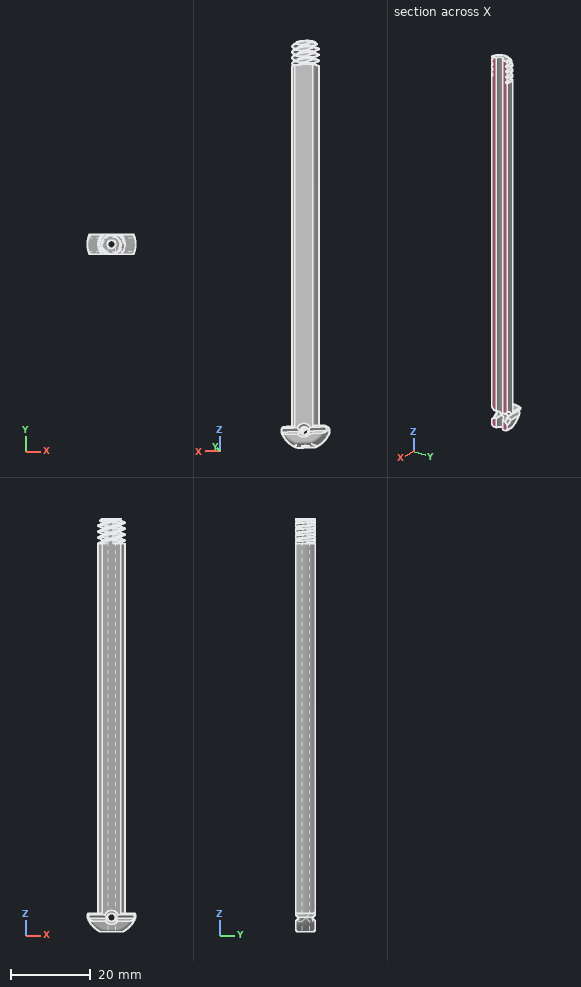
import cadquery as cq

thickness = 5.0
total_length = 103.73
bore_diameter = 2.0

head_radius = 6.1
head_height = 4.73
head_rim_height = 1.1
head_tip_radius = 2.8
dome_radius = 6.5
head_top_fillet = 0.6
dome_edge_fillet = 0.7

groove_depth = 0.8
groove_drop = 1.25
cross_hole_drop = 1.1
cross_hole_radius = 1.0
cross_hole_mouth_radius = 1.75
cross_hole_mouth_depth = 0.75

shank_diameter = 6.8

thread_length = 6.25
thread_pitch = 1.5
thread_overrun_turns = 1.5
thread_core_radius = 2.15
thread_root_overlap = 0.1
thread_top_radius = 2.4
thread_envelope_radius = 3.6
thread_root_width = 1.35
thread_crest_width = 0.1

bore_radius = bore_diameter / 2
shank_length = total_length - head_height - thread_length
thread_radius = shank_diameter / 2


def make_head():
    """Domed disc trimmed to the flat thickness, its top face at Z = 0."""
    profile = (
        cq.Workplane("XZ")
        .lineTo(head_radius, 0)
        .lineTo(head_radius, -head_rim_height)
        .radiusArc((head_tip_radius, -head_height), dome_radius)
        .lineTo(0, -head_height)
        .close()
    )
    disc = profile.revolve(360, (0, 0, 0), (0, 1, 0)).faces(">Z").edges().fillet(head_top_fillet)
    head = disc.intersect(side_slab())
    lower_box = cq.selectors.BoxSelector(
        (-head_radius, -thickness, -head_height), (head_radius, thickness, -head_rim_height)
    )
    for side in ("<Y", ">Y"):
        head = head.faces(side).edges(lower_box).fillet(dome_edge_fillet)
    return head


def make_shank():
    return cq.Workplane("XY").circle(shank_diameter / 2).extrude(shank_length).intersect(side_slab())


def make_thread():
    """Core with one helical ridge, both made too long and then trimmed to the flats and the length."""
    overrun = thread_overrun_turns * thread_pitch
    full_length = thread_length + 2 * overrun
    core = cq.Workplane("XY").circle(thread_core_radius).extrude(full_length)
    root = thread_core_radius - thread_root_overlap
    helix = cq.Wire.makeHelix(thread_pitch, full_length, root)
    ridge = (
        cq.Workplane("XZ")
        .moveTo(root, -thread_root_width / 2)
        .lineTo(thread_radius, -thread_crest_width / 2)
        .lineTo(thread_radius, thread_crest_width / 2)
        .lineTo(root, thread_root_width / 2)
        .close()
        .sweep(cq.Workplane(obj=helix), isFrenet=True)
    )
    envelope = (
        cq.Workplane("XY")
        .circle(thread_envelope_radius)
        .extrude(thread_length)
        .faces(">Z")
        .edges()
        .chamfer(thread_envelope_radius - thread_top_radius)
        .intersect(side_slab())
    )
    thread = core.union(ridge).translate((0, 0, -overrun)).intersect(envelope)
    return thread.translate((0, 0, shank_length))


def side_slab():
    """Slab that trims everything to the flat thickness."""
    return cq.Workplane("XY").box(4 * head_radius, thickness, 4 * total_length)


def make_groove(side):
    """V groove along X in the flat side at Y = side * thickness / 2."""
    face_y = side * thickness / 2
    return (
        cq.Workplane("YZ")
        .moveTo(face_y, -groove_drop + groove_depth)
        .lineTo(face_y - side * groove_depth, -groove_drop)
        .lineTo(face_y, -groove_drop - groove_depth)
        .close()
        .extrude(2 * head_radius, both=True)
    )


def make_bore():
    return cq.Workplane("XY").circle(bore_radius).extrude(2 * total_length, both=True)


def make_cross_hole():
    """Hole along Y with a conical mouth at each flat side."""
    half_profile = (
        cq.Workplane("XY")
        .lineTo(cross_hole_mouth_radius, 0)
        .lineTo(cross_hole_radius, cross_hole_mouth_depth)
        .lineTo(cross_hole_radius, thickness / 2)
        .lineTo(0, thickness / 2)
        .close()
    )
    half = half_profile.revolve(360, (0, 0, 0), (0, 1, 0)).translate((0, -thickness / 2, 0))
    return half.union(half.mirror("XZ")).translate((0, 0, -cross_hole_drop))


result = make_head().union(make_shank()).union(make_thread())
for side in (-1, 1):
    result = result.cut(make_groove(side))
result = result.cut(make_bore()).cut(make_cross_hole())